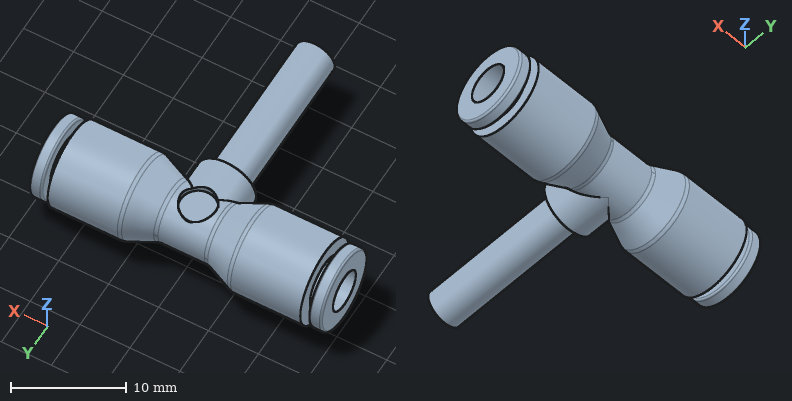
import cadquery as cq

overall_length = 29.3
collar_radius = 4.05
collar_length = 1.3
collar_edge_fillet = 0.2
sleeve_radius = 2.58
body_half_length = 12.65
body_radius = 4.25
neck_radius = 3.0
taper_outer_x = 5.48
taper_inner_x = 2.52
taper_blend_radius = 1.0
run_bore_radius = 2.0

boss_radius = neck_radius
boss_reach = 4.92
stem_radius = run_bore_radius
stem_reach = 20.4
stem_bore_radius = 1.5

recess_radius = 1.75
recess_floor_z = 2.31


def x_cylinder(radius, x_start, x_end):
    """Cylinder about the X axis between two X positions."""
    return cq.Workplane("YZ", origin=(x_start, 0, 0)).circle(radius).extrude(x_end - x_start)


def y_cylinder(radius, reach):
    """Cylinder from the centre of the part along -Y."""
    return cq.Workplane("XZ").circle(radius).extrude(reach)


def make_half_body():
    """Right half of the run: neck, taper and port housing, with blended taper ends."""
    half_body = (
        cq.Workplane("XY")
        .moveTo(0, 0)
        .lineTo(0, neck_radius)
        .lineTo(taper_inner_x, neck_radius)
        .lineTo(taper_outer_x, body_radius)
        .lineTo(body_half_length, body_radius)
        .lineTo(body_half_length, 0)
        .close()
        .revolve(360, (0, 0, 0), (1, 0, 0))
    )
    taper_ends = cq.selectors.BoxSelector(
        (taper_inner_x / 2, -body_radius, -body_radius),
        (body_half_length / 2, body_radius, body_radius),
    )
    return half_body.edges("%CIRCLE").edges(taper_ends).fillet(taper_blend_radius)


def make_release_collar():
    """Release collar of the right port, carried on a thinner sleeve."""
    collar_end = overall_length / 2
    collar_start = collar_end - collar_length
    collar = x_cylinder(collar_radius, collar_start, collar_end)
    collar = collar.edges("%CIRCLE").fillet(collar_edge_fillet)
    sleeve = x_cylinder(sleeve_radius, 0, collar_end - collar_length / 2)
    return collar.union(sleeve)


half_run = make_half_body().union(make_release_collar())
run = half_run.union(half_run.mirror("YZ"))

branch = y_cylinder(boss_radius, boss_reach).union(y_cylinder(stem_radius, stem_reach))

run_bore = x_cylinder(run_bore_radius, -overall_length / 2, overall_length / 2)
stem_bore = y_cylinder(stem_bore_radius, stem_reach)
recess = cq.Workplane("XY", origin=(0, 0, recess_floor_z)).circle(recess_radius).extrude(neck_radius)

result = run.union(branch).cut(run_bore).cut(stem_bore).cut(recess)